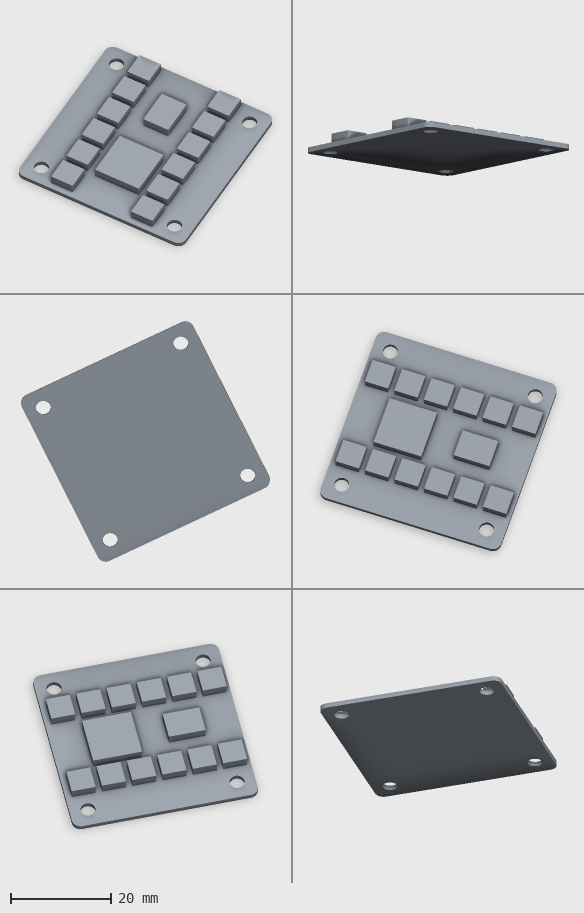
import cadquery as cq

board_side = 38.0
board_thickness = 1.0
corner_radius = 1.75

hole_diameter = 3.0
hole_pitch = 30.5

component_height = 2.0

square_side = 4.9
column_spacing = 18.3
column_rows = 6
row_pitch = 6.2
column_center_y = 0.2

large_chip_side = 10.0
large_chip_center = (0.2, -6.9)

small_chip_width = 5.7
small_chip_length = 7.5
small_chip_center = (0.0, 7.9)


def make_board():
    """Rounded square plate with its underside at Z = 0 and four mounting holes."""
    plate = (
        cq.Workplane("XY")
        .rect(board_side, board_side)
        .extrude(board_thickness)
        .edges("|Z")
        .fillet(corner_radius)
    )
    return (
        plate.faces(">Z")
        .workplane(origin=(0, 0, board_thickness))
        .rect(hole_pitch, hole_pitch, forConstruction=True)
        .vertices()
        .hole(hole_diameter)
    )


def add_components(body, centers, width, length):
    """Fuse one upright block to the top of the board at each centre."""
    blocks = (
        cq.Workplane("XY")
        .workplane(offset=board_thickness)
        .pushPoints(centers)
        .rect(width, length)
        .extrude(component_height)
    )
    return body.union(blocks)


def column_centers():
    """Centres of the square components, both columns, front to back."""
    first_y = column_center_y - row_pitch * (column_rows - 1) / 2
    return [
        (side * column_spacing / 2, first_y + row * row_pitch)
        for side in (-1, 1)
        for row in range(column_rows)
    ]


result = make_board()
result = add_components(result, column_centers(), square_side, square_side)
result = add_components(result, [large_chip_center], large_chip_side, large_chip_side)
result = add_components(result, [small_chip_center], small_chip_width, small_chip_length)